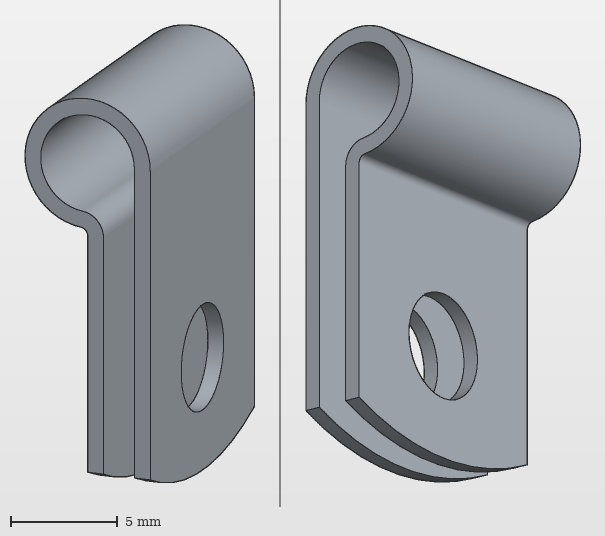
import cadquery as cq
import math

height = 19.64
width = 12.7
loop_outer_radius = 3.18
thickness = 0.8

neck_small_radius = 0.37

hole_diameter = 5.17
hole_height = 5.54
end_sag = 1.34

loop_inner_radius = loop_outer_radius - thickness
neck_large_radius = neck_small_radius + thickness
leg_bottom = loop_outer_radius - height
half_width = width / 2
cutter_reach = 2 * loop_outer_radius

neck_x = -neck_small_radius
neck_distance = loop_outer_radius + neck_small_radius
neck_z = -math.sqrt(neck_distance**2 - neck_x**2)
neck_angle = math.atan2(-neck_z, -neck_x)


def loop_point(radius):
    """Point where the loop meets the neck bend."""
    return (radius * neck_x / neck_distance, radius * neck_z / neck_distance)


def neck_middle(radius):
    """Middle of the neck arc, which ends heading straight down."""
    angle = neck_angle / 2
    return (neck_x + radius * math.cos(angle), neck_z + radius * math.sin(angle))


def bent_strip():
    """Sheet cross-section in XZ, extruded across the full width."""
    return (
        cq.Workplane("XZ")
        .moveTo(loop_outer_radius, leg_bottom)
        .lineTo(loop_outer_radius, 0)
        .threePointArc((-loop_outer_radius, 0), loop_point(loop_outer_radius))
        .threePointArc(neck_middle(neck_small_radius), (0, neck_z))
        .lineTo(0, leg_bottom)
        .lineTo(thickness, leg_bottom)
        .lineTo(thickness, neck_z)
        .threePointArc(neck_middle(neck_large_radius), loop_point(loop_inner_radius))
        .threePointArc((-loop_inner_radius, 0), (loop_inner_radius, 0))
        .lineTo(loop_inner_radius, leg_bottom)
        .close()
        .extrude(half_width, both=True)
    )


def side_outline():
    """Flat outline in YZ with the curved lower end, spanning the part in X."""
    return (
        cq.Workplane("YZ")
        .moveTo(-half_width, cutter_reach)
        .lineTo(-half_width, leg_bottom + end_sag)
        .threePointArc((0, leg_bottom), (half_width, leg_bottom + end_sag))
        .lineTo(half_width, cutter_reach)
        .close()
        .extrude(cutter_reach, both=True)
    )


def screw_hole():
    """Cylinder along X through both legs."""
    return (
        cq.Workplane("YZ")
        .center(0, leg_bottom + hole_height)
        .circle(hole_diameter / 2)
        .extrude(cutter_reach, both=True)
    )


result = bent_strip().intersect(side_outline()).cut(screw_hole())